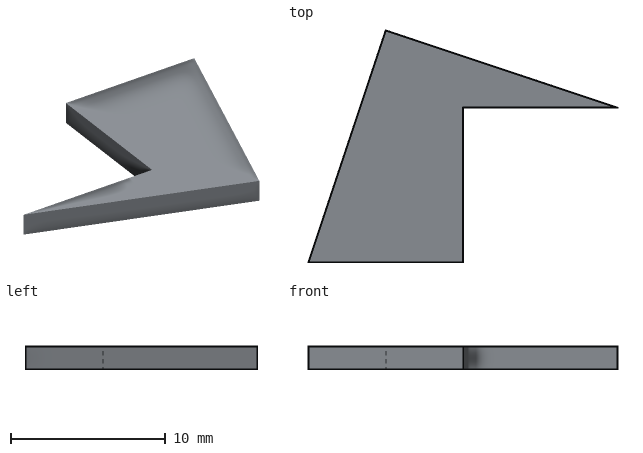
import cadquery as cq

length = 20.0
width = 15.0
thickness = 1.5
notch_size = 10.0
peak_x = 5.0

notch_x = length - notch_size
notch_y = notch_size

outline = [
    (0, 0),
    (notch_x, 0),
    (notch_x, notch_y),
    (length, notch_y),
    (peak_x, width),
]

result = cq.Workplane("XY").polyline(outline).close().extrude(thickness)